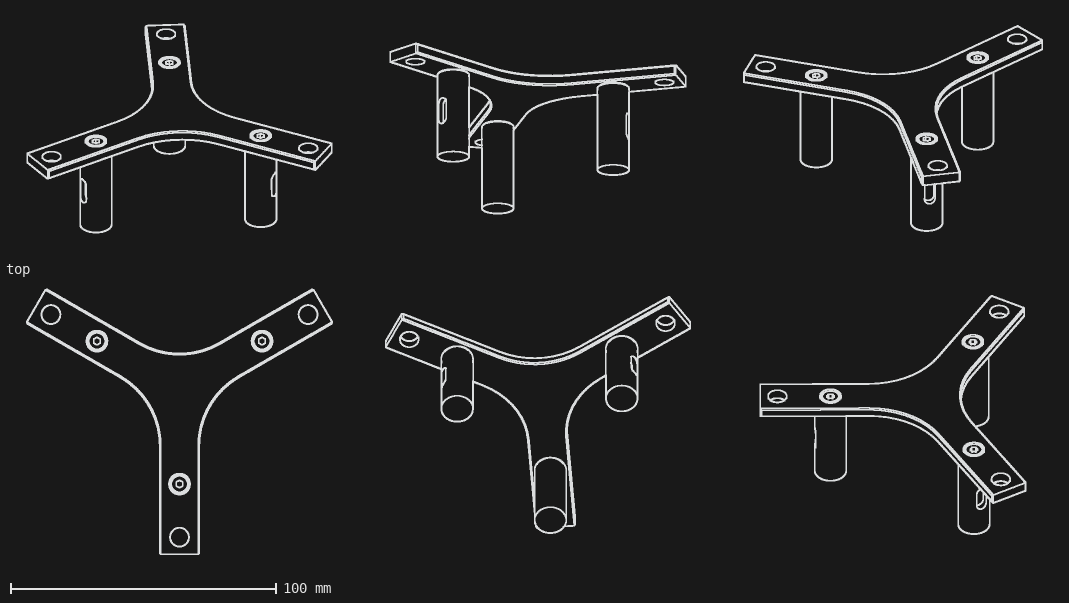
import cadquery as cq
import math

SPAN_X = 115.2
HEIGHT = 37.1
ARM_ANGLES = (30, 150, 270)

PLATE_THICKNESS = 4.0
ARM_WIDTH = 15.0
CORNER_RADIUS = 30.0
SIDE_CHAMFER = 0.5
MOUNT_HOLE_DIA = 7.0
MOUNT_HOLE_REACH = 56.0

POST_DIA = 12.0
POST_REACH = 36.0
POST_TOP_CHAMFER = 0.5
SLOT_WIDTH = 4.0
SLOT_LENGTH = 10.0
SLOT_DEPTH_BELOW_PLATE = 16.1
SLOT_FLOOR_OFFSET = 3.5

HEAD_DIA = 7.0
HEAD_HEIGHT = 2.3
HEAD_CHAMFER = 0.4
HEAD_RECESS = 0.1
SHANK_DIA = 4.0
SHANK_LENGTH = 10.0
SOCKET_FLATS = 2.5
SOCKET_DEPTH = 2.1
COUNTERBORE_DIA = 8.0

ARM_HALF = ARM_WIDTH / 2
TILT = math.radians(ARM_ANGLES[0])
ARM_LENGTH = (SPAN_X / 2 - (ARM_HALF - SIDE_CHAMFER) * math.sin(TILT)) / math.cos(TILT)
POST_LENGTH = HEIGHT - PLATE_THICKNESS
SEAT_Z = PLATE_THICKNESS - HEAD_RECESS - HEAD_HEIGHT
SHANK_END_Z = SEAT_Z - SHANK_LENGTH
SOCKET_DIA = SOCKET_FLATS / math.cos(math.pi / 6)


def on_arm(shape, angle):
    """Turn a shape built on the +X arm about Z onto the arm at the given angle."""
    return shape.rotate((0, 0, 0), (0, 0, 1), angle)


def plate_blank():
    """Three-armed star with blended inner corners and chamfered long sides."""
    blank = None
    for angle in ARM_ANGLES:
        arm = cq.Workplane("XY").box(
            ARM_LENGTH, ARM_WIDTH, PLATE_THICKNESS, centered=(False, True, False)
        )
        arm = on_arm(arm, angle)
        blank = arm if blank is None else blank.union(arm)
    corner_reach = ARM_WIDTH
    inner_corners = cq.selectors.BoxSelector(
        (-corner_reach, -corner_reach, 0), (corner_reach, corner_reach, PLATE_THICKNESS)
    )
    blank = blank.edges("|Z").edges(inner_corners).fillet(CORNER_RADIUS)

    end_edges = []
    for angle in ARM_ANGLES:
        direction = cq.Vector(math.cos(math.radians(angle)), math.sin(math.radians(angle)), 0)
        end_face = blank.faces(cq.selectors.DirectionMinMaxSelector(direction))
        end_edges += end_face.edges("not |Z").vals()
    side_edges = [
        edge for edge in blank.edges().vals()
        if not any(edge.isSame(end_edge) for end_edge in end_edges)
    ]
    return blank.newObject(side_edges).chamfer(SIDE_CHAMFER)


def mounting_hole():
    return (
        cq.Workplane("XY").center(MOUNT_HOLE_REACH, 0)
        .circle(MOUNT_HOLE_DIA / 2).extrude(PLATE_THICKNESS)
    )


def screw_hole():
    """Shank hole through the plate and into the post, with a counterbore for the head."""
    shank_hole = (
        cq.Workplane("XY", origin=(POST_REACH, 0, SHANK_END_Z))
        .circle(SHANK_DIA / 2).extrude(PLATE_THICKNESS - SHANK_END_Z)
    )
    counterbore = (
        cq.Workplane("XY", origin=(POST_REACH, 0, SEAT_Z))
        .circle(COUNTERBORE_DIA / 2).extrude(PLATE_THICKNESS - SEAT_Z)
    )
    return shank_hole.union(counterbore)


def make_plate():
    plate = plate_blank()
    for angle in ARM_ANGLES:
        plate = plate.cut(on_arm(mounting_hole(), angle)).cut(on_arm(screw_hole(), angle))
    return plate


def make_post():
    """Round post on the +X arm with a flat-floored slot facing the arm tip."""
    post = (
        cq.Workplane("XY").center(POST_REACH, 0)
        .circle(POST_DIA / 2).extrude(-POST_LENGTH)
        .faces(">Z").chamfer(POST_TOP_CHAMFER)
    )
    slot = (
        cq.Workplane("YZ", origin=(POST_REACH + SLOT_FLOOR_OFFSET, 0, -SLOT_DEPTH_BELOW_PLATE))
        .slot2D(SLOT_LENGTH, SLOT_WIDTH, 90).extrude(POST_DIA / 2)
    )
    return post.cut(slot).cut(screw_hole())


def make_screw():
    """Socket-head screw on the +X arm, its head sunk in the counterbore."""
    head = (
        cq.Workplane("XY", origin=(POST_REACH, 0, SEAT_Z))
        .circle(HEAD_DIA / 2).extrude(HEAD_HEIGHT)
        .faces(">Z").chamfer(HEAD_CHAMFER)
    )
    shank = (
        cq.Workplane("XY", origin=(POST_REACH, 0, SEAT_Z))
        .circle(SHANK_DIA / 2).extrude(-SHANK_LENGTH)
    )
    socket = (
        cq.Workplane("XY", origin=(POST_REACH, 0, SEAT_Z + HEAD_HEIGHT))
        .polygon(6, SOCKET_DIA).extrude(-SOCKET_DEPTH)
    )
    return head.union(shank).cut(socket)


plate = make_plate()
posts = [on_arm(make_post(), angle) for angle in ARM_ANGLES]
screws = [on_arm(make_screw(), angle) for angle in ARM_ANGLES]

result = cq.Compound.makeCompound(
    [plate.val(), *(post.val() for post in posts), *(screw.val() for screw in screws)]
)